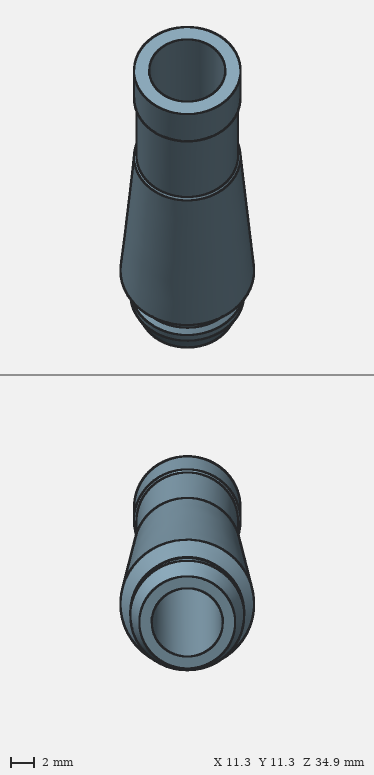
import cadquery as cq

total_height = 34.9
lip_bottom = 2.1
lip_top = 2.93
groove_bottom = 3.35
groove_top = 4.78
skirt_bottom = 5.6
skirt_top = 22.23
skirt_chamfer_height = 0.2
collar_height = 4.0
collar_chamfer_height = 0.2

tip_radius = 4.05
lip_radius = 4.8
groove_radius = 4.35
skirt_radius = 5.65
neck_radius = 4.3
collar_radius = 4.5

upper_bore_radius = 3.2
lower_bore_radius = 3.0
bore_step_height = skirt_top

collar_bottom = total_height - collar_height

half_section = [
    (lower_bore_radius, 0),
    (tip_radius, 0),
    (lip_radius, lip_bottom),
    (lip_radius, lip_top),
    (groove_radius, groove_bottom),
    (groove_radius, groove_top),
    (skirt_radius, skirt_bottom),
    (collar_radius, skirt_top),
    (neck_radius, skirt_top + skirt_chamfer_height),
    (neck_radius, collar_bottom - collar_chamfer_height),
    (collar_radius, collar_bottom),
    (collar_radius, total_height),
    (upper_bore_radius, total_height),
    (upper_bore_radius, bore_step_height),
    (lower_bore_radius, bore_step_height),
]

result = cq.Workplane("XZ").polyline(half_section).close().revolve(360, (0, 0, 0), (0, 1, 0))